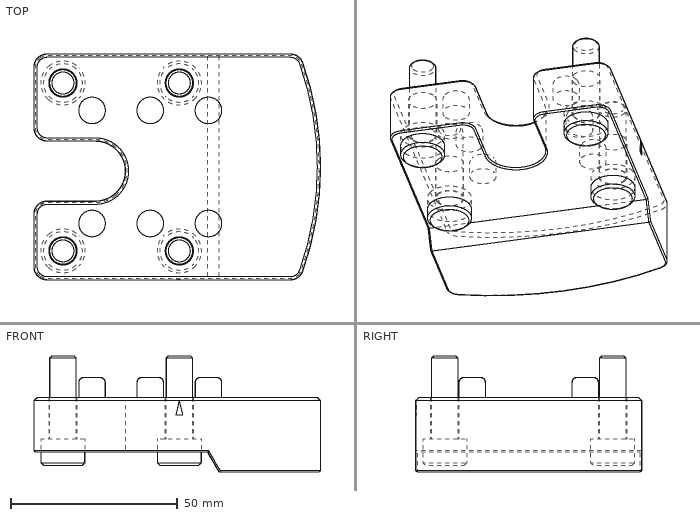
import cadquery as cq
import math

foot_height = 6.0
plate_thickness = 16.5
plate_top = foot_height + plate_thickness

plate_length = 86.25
plate_width = 68.0
bow_radius = 94.0
corner_radius = 4.0
top_chamfer = 1.0
bottom_chamfer = 0.5

slot_width = 18.0
slot_center_x = 18.5
slot_center_y = -1.25

foot_start_x = 55.7
foot_slope_angle = 60.0

pitch = 17.5
screw_columns = [pitch / 2, 5 * pitch / 2]
screw_row_y = 25.25
pin_columns = [pitch, 2 * pitch, 3 * pitch]
pin_row_y = 17.0

pin_diameter = 8.0
pin_height = 6.0
pin_fillet = 1.5

screw_diameter = 8.0
screw_length = 25.0
screw_tip_chamfer = 0.7
head_diameter = 13.25
head_height = 8.0
head_chamfer = 0.8
head_bottom = 2.0
seat_level = head_bottom + head_height
clearance_diameter = 8.5

mark_width = 2.0
mark_height = 4.25
mark_depth = 0.2


def mirrored_rows(columns, row_y):
    """Points on every column at +row_y and -row_y."""
    return [(x, side * row_y) for x in columns for side in (1, -1)]


screw_points = mirrored_rows(screw_columns, screw_row_y)
pin_points = mirrored_rows(pin_columns, pin_row_y)


def outline_block():
    """Full-height block with a bowed right end, an open slot and rounded outer corners."""
    half_width = plate_width / 2
    bow_drop = bow_radius - math.sqrt(bow_radius**2 - half_width**2)
    bow_end_x = plate_length - bow_drop
    slot_low = slot_center_y - slot_width / 2
    slot_high = slot_center_y + slot_width / 2
    slot_end_x = slot_center_x + slot_width / 2
    block = (
        cq.Workplane("XY")
        .moveTo(0, -half_width)
        .lineTo(bow_end_x, -half_width)
        .threePointArc((plate_length, 0), (bow_end_x, half_width))
        .lineTo(0, half_width)
        .lineTo(0, slot_high)
        .lineTo(slot_center_x, slot_high)
        .threePointArc((slot_end_x, slot_center_y), (slot_center_x, slot_low))
        .lineTo(0, slot_low)
        .close()
        .extrude(plate_top)
    )
    left_corners = "|Z and <X"
    right_corners = "|Z and (>Y or <Y)"
    return block.edges(f"({left_corners}) or ({right_corners})").fillet(corner_radius)


def foot_relief():
    """Space under the plate left of the foot, ending in the sloped foot front."""
    slope_run = foot_height / math.tan(math.radians(foot_slope_angle))
    return (
        cq.Workplane("XZ")
        .moveTo(0, 0)
        .lineTo(foot_start_x, 0)
        .lineTo(foot_start_x - slope_run, foot_height)
        .lineTo(0, foot_height)
        .close()
        .extrude(plate_width / 2, both=True)
    )


def underside_rim(block):
    """Outer edges of the downward faces, without the foot slope folds that two of them share."""
    downward_limit = -0.1
    rim = []
    for face in block.faces().vals():
        if face.normalAt().z < downward_limit:
            for edge in face.Edges():
                twins = [other for other in rim if other.isSame(edge)]
                if twins:
                    rim.remove(twins[0])
                else:
                    rim.append(edge)
    return rim


def screw_hole():
    """Clearance hole for the shank above a counterbore that fits the head."""
    bore = cq.Workplane("XY").circle(clearance_diameter / 2).extrude(plate_top)
    counterbore = cq.Workplane("XY").circle(head_diameter / 2).extrude(seat_level)
    return bore.union(counterbore)


def index_mark():
    """Narrow triangle whose tip touches the top chamfer, in line with the second screw column."""
    tip_z = plate_top - top_chamfer
    center_x = screw_columns[1]
    return (
        cq.Workplane("XZ", origin=(0, -plate_width / 2, 0))
        .moveTo(center_x, tip_z)
        .lineTo(center_x - mark_width / 2, tip_z - mark_height)
        .lineTo(center_x + mark_width / 2, tip_z - mark_height)
        .close()
        .extrude(-mark_depth)
    )


def make_plate():
    """Base plate with its foot and six fixed pins, bored for the four screws."""
    block = outline_block().cut(foot_relief())
    block = block.faces(">Z").edges().chamfer(top_chamfer)
    block = block.newObject(underside_rim(block)).chamfer(bottom_chamfer)
    pin = cq.Workplane("XY").circle(pin_diameter / 2).extrude(pin_height)
    pin = pin.faces(">Z").edges().fillet(pin_fillet)
    for x, y in pin_points:
        block = block.union(pin.translate((x, y, plate_top)))
    for x, y in screw_points:
        block = block.cut(screw_hole().translate((x, y, 0)))
    return block.cut(index_mark())


def make_screw(x, y):
    """Screw with its head down and its shank standing up through the plate."""
    head = cq.Workplane("XY").circle(head_diameter / 2).extrude(head_height)
    head = head.faces("<Z").edges().chamfer(head_chamfer)
    shank = cq.Workplane("XY", origin=(0, 0, head_height)).circle(screw_diameter / 2).extrude(screw_length)
    shank = shank.faces(">Z").edges().chamfer(screw_tip_chamfer)
    return head.union(shank).translate((x, y, head_bottom))


plate = make_plate()
screws = [make_screw(x, y) for x, y in screw_points]

result = cq.Compound.makeCompound([plate.val(), *[screw.val() for screw in screws]])